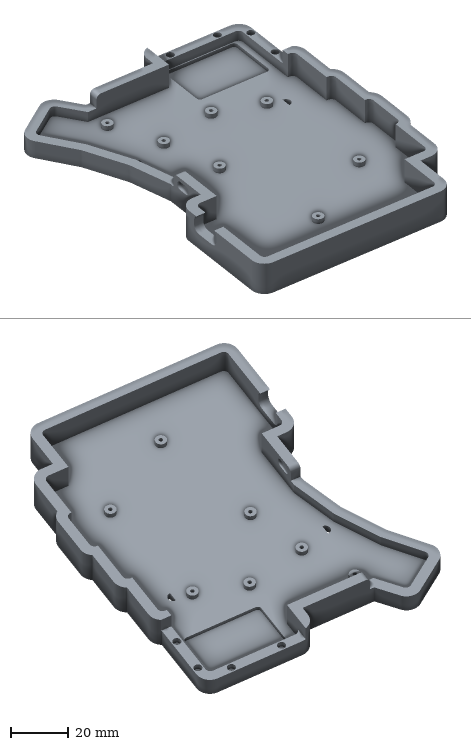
import cadquery as cq

case_height = 13.0
low_rim_height = 7.3
floor_thickness = 3.0

wall = 4.0
cavity_corner_radius = 2.0
case_corner_radius = 5.4

cavity_right = 128.0
cavity_front = 18.7
bay_left = 5.1
bay_front = 61.4
bay_back = 98.6
side_wall_x = 14.1
middle_front = 27.9
right_block_left = 88.0

cavity_outline = [
    (bay_left, bay_back),
    (33.5, bay_back),
    (33.5, 101.3),
    (52.8, 101.3),
    (52.8, 103.9),
    (71.8, 103.9),
    (71.8, 106.1),
    (89.9, 106.1),
    (89.9, 103.9),
    (108.9, 103.9),
    (108.9, 93.9),
    (cavity_right, 93.9),
    (cavity_right, cavity_front),
    (right_block_left, cavity_front),
    (right_block_left, middle_front),
    (65.9, middle_front),
    (47.3, 22.8),
    (29.5, 14.4),
    (13.9, 3.4),
    (3.4, 18.5),
    (side_wall_x, 26.4),
    (side_wall_x, bay_front),
    (bay_left, bay_front),
]

bay_rim_end_x = 30.5
thumb_rim_end_x = 68.1
thumb_rim_end_y = 30.1
rim_end_radius = 2.0
edge_margin = 0.1

recess_left = 5.5
recess_front = 65.3
recess_width = 21.0
recess_length = 30.9
recess_depth = 1.6
recess_corner_radius = 1.5

pin_hole_diameter = 3.2
pin_hole_depth = 2.4
side_pin_x = bay_left - wall / 2
back_pin_y = bay_back + wall / 2
pin_centres = [(9.0, back_pin_y), (23.4, back_pin_y), (side_pin_x, 90.4), (side_pin_x, 70.1)]

boss_diameter = 4.4
boss_hole_diameter = 1.6
boss_height = 2.0
boss_centres = [
    (20.7, 30.0),
    (36.2, 63.5),
    (41.0, 39.5),
    (42.8, 82.8),
    (64.5, 46.3),
    (90.4, 87.8),
    (109.6, 56.0),
]

half_hole_radius = 2.0
half_hole_x = 45.4
back_half_hole_y = 89.1
front_half_hole_y = 27.3

window_centre_x = 73.5
window_centre_z = 9.6
window_width = 6.6
window_height = 3.4
window_corner_radius = 1.6

notch_centre_x = 99.1
notch_bottom = 6.2
notch_width = 13.1
notch_height = 7.1
notch_corner_radius = 2.6


def rounded_outline(growth, corner_radius):
    """Cavity outline moved outward by growth, with its outward corners rounded to corner_radius."""
    inset = corner_radius - growth
    core = cq.Workplane("XY").polyline(cavity_outline).close().offset2D(-inset)
    return core.offset2D(corner_radius)


def front_wall_cutter(centre_x, centre_z, width, height, corner_radius, inner_y):
    """Rounded block running along Y through the front wall that ends at inner_y."""
    return (
        cq.Workplane("XY")
        .box(width, 2 * wall, height)
        .edges("|Y")
        .fillet(corner_radius)
        .translate((centre_x, inner_y - wall / 2, centre_z))
    )


def corner_block(x_end, y_start, y_end):
    """Block above the low rim, from left of the case to x_end."""
    return (
        cq.Workplane("XY", origin=(-wall, y_start, low_rim_height))
        .box(x_end + wall, y_end - y_start, case_height, centered=False)
    )


def half_hole(flat_y, bulge):
    """Half disc through the floor with its flat side on flat_y."""
    return (
        cq.Workplane("XY")
        .moveTo(half_hole_x - half_hole_radius, flat_y)
        .threePointArc((half_hole_x, flat_y + bulge), (half_hole_x + half_hole_radius, flat_y))
        .close()
        .extrude(floor_thickness)
    )


def rounded_rim_ends(body):
    """Round the top edges where the full-height wall drops to the thumb corner rim."""
    reach = wall / 2
    side_end = cq.selectors.BoxSelector(
        (side_wall_x - wall - reach, thumb_rim_end_y - edge_margin, case_height - edge_margin),
        (side_wall_x + reach, thumb_rim_end_y + edge_margin, case_height + edge_margin),
    )
    front_end = cq.selectors.BoxSelector(
        (thumb_rim_end_x - edge_margin, middle_front - wall - reach, case_height - edge_margin),
        (thumb_rim_end_x + edge_margin, middle_front + reach, case_height + edge_margin),
    )
    return body.edges(side_end + front_end).fillet(rim_end_radius)


tray = rounded_outline(wall, case_corner_radius).extrude(case_height)
cavity = rounded_outline(0, cavity_corner_radius).extrude(case_height)
tray = tray.cut(cavity.translate((0, 0, floor_thickness)))

tray = tray.cut(corner_block(bay_rim_end_x, bay_front, bay_back + 2 * wall))
tray = tray.cut(corner_block(thumb_rim_end_x, -wall, thumb_rim_end_y))
tray = rounded_rim_ends(tray)

recess = (
    cq.Workplane("XY", origin=(recess_left, recess_front, floor_thickness - recess_depth))
    .box(recess_width, recess_length, case_height, centered=False)
    .edges("|Z")
    .fillet(recess_corner_radius)
)
tray = tray.cut(recess)

pin_holes = (
    cq.Workplane("XY", origin=(0, 0, low_rim_height - pin_hole_depth))
    .pushPoints(pin_centres)
    .circle(pin_hole_diameter / 2)
    .extrude(pin_hole_depth)
)
tray = tray.cut(pin_holes)

bosses = (
    cq.Workplane("XY", origin=(0, 0, floor_thickness))
    .pushPoints(boss_centres)
    .circle(boss_diameter / 2)
    .circle(boss_hole_diameter / 2)
    .extrude(boss_height)
)
tray = tray.union(bosses)

tray = tray.cut(half_hole(back_half_hole_y, half_hole_radius))
tray = tray.cut(half_hole(front_half_hole_y, -half_hole_radius))

window = front_wall_cutter(
    window_centre_x, window_centre_z, window_width, window_height, window_corner_radius, middle_front
)
notch = front_wall_cutter(
    notch_centre_x,
    notch_bottom + notch_height / 2,
    notch_width,
    notch_height,
    notch_corner_radius,
    cavity_front,
)
result = tray.cut(window).cut(notch)